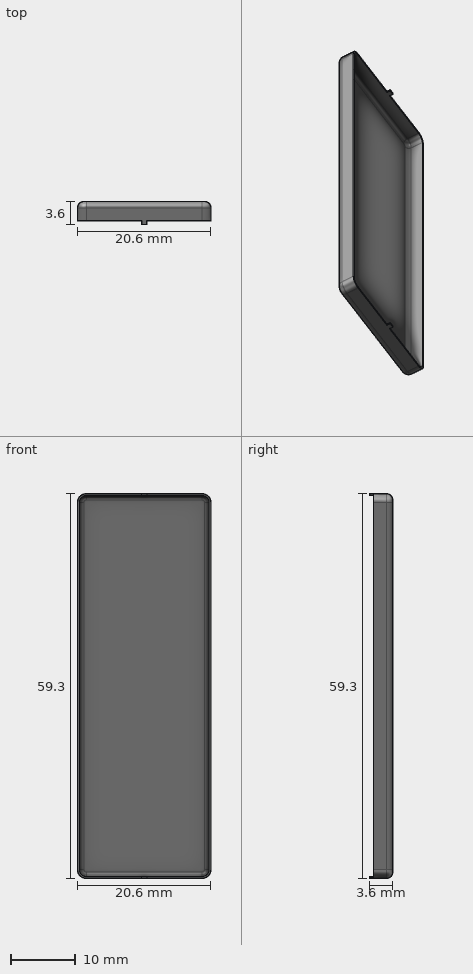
import cadquery as cq

width = 20.6
height = 59.3
tray_depth = 3.0

wall = 0.3
corner_radius = 1.4
back_edge_radius = 1.0

tab_width = 0.8
tab_length = 0.6
tab_thickness = wall


def rounded_block(inset, depth):
    """Block from the open face toward +Y, inset from the outline, with rounded corners and back edge."""
    return (
        cq.Workplane("XZ")
        .rect(width - 2 * inset, height - 2 * inset)
        .extrude(-depth)
        .edges("|Y")
        .fillet(corner_radius - inset)
        .faces(">Y")
        .edges()
        .fillet(back_edge_radius - inset)
    )


def rim_tab(side):
    """Tab in the middle of the top (side = 1) or bottom (side = -1) wall, flush with its outer face."""
    center_z = side * (height - tab_thickness) / 2
    return (
        cq.Workplane("XZ")
        .center(0, center_z)
        .rect(tab_width, tab_thickness)
        .extrude(tab_length)
    )


result = rounded_block(0, tray_depth).cut(rounded_block(wall, tray_depth - wall))
for side in (1, -1):
    result = result.union(rim_tab(side))